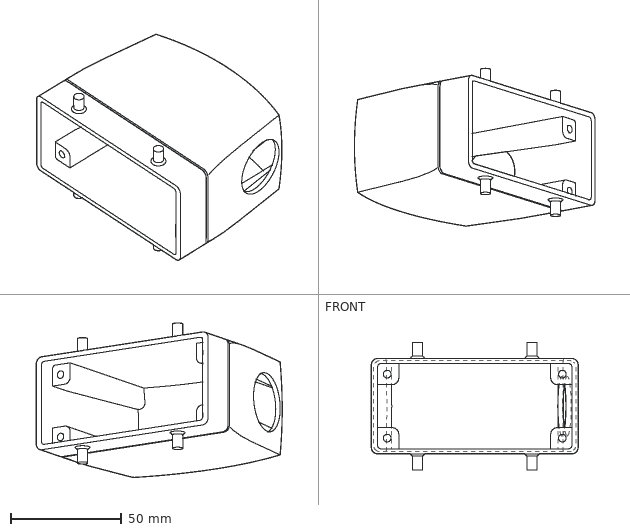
import cadquery as cq
import math

LENGTH = 94.0
THICKNESS = 43.4
DEPTH = 77.55
CORNER_RADIUS = 3.0

COLLAR_DEPTH = 16.4
GROOVE_WIDTH = 1.0
GROOVE_DEPTH = 1.0
SHELL_START = COLLAR_DEPTH + GROOVE_WIDTH

TAPER_ANGLE = 7.5
DOME_RADIUS = 125.0

END_WALL = 2.9
SIDE_WALL = 2.35
DOME_WALL = 2.0
CAVITY_CORNER_RADIUS = 1.5
CAVITY_TAPER_START = 21.1
CAVITY_LENGTH = LENGTH - 2 * END_WALL
CAVITY_THICKNESS = THICKNESS - 2 * SIDE_WALL

ENTRY_DIAMETER = 27.0
ENTRY_CENTRE_Y = 55.4

POST_SIZE = 9.6
POST_FRONT_Y = 9.0
POST_EDGE_RADIUS = 3.0
SCREW_HOLE_DIAMETER = 3.5
SCREW_HOLE_DEPTH = 12.0
SCREW_SPACING_X = 79.5
SCREW_SPACING_Z = 29.0

PIN_DIAMETER = 4.7
PIN_SPACING = 52.0
PIN_CENTRE_Y = 6.5
PIN_SPAN = 58.0
PIN_FOOT_HEIGHT = 1.0

SIDES = (-1, 1)


def rounded_block(length, thickness, radius):
    """Block along the full depth with its four long edges rounded."""
    block = cq.Workplane("XY").box(length, DEPTH, thickness)
    return block.edges("|Y").fillet(radius).translate((0, DEPTH / 2, 0))


def domed_envelope(length, end_y, dome_radius, taper_start):
    """Straight up to taper_start, then narrowing at both ends and closed by a spherical dome."""
    half_length = length / 2
    end_half_length = half_length - (end_y - taper_start) * math.tan(math.radians(TAPER_ANGLE))
    profile = (
        cq.Workplane("XY")
        .workplane(offset=-THICKNESS)
        .polyline(
            [
                (-half_length, 0),
                (half_length, 0),
                (half_length, taper_start),
                (end_half_length, end_y),
                (-end_half_length, end_y),
                (-half_length, taper_start),
            ]
        )
        .close()
        .extrude(2 * THICKNESS)
    )
    ball = cq.Workplane("XZ").sphere(dome_radius).translate((0, end_y - dome_radius, 0))
    return profile.intersect(ball)


def outer_form():
    block = rounded_block(LENGTH, THICKNESS, CORNER_RADIUS)
    return block.intersect(domed_envelope(LENGTH, DEPTH, DOME_RADIUS, SHELL_START))


def cavity_form():
    block = rounded_block(CAVITY_LENGTH, CAVITY_THICKNESS, CAVITY_CORNER_RADIUS)
    envelope = domed_envelope(
        CAVITY_LENGTH, DEPTH - DOME_WALL, DOME_RADIUS - DOME_WALL, CAVITY_TAPER_START
    )
    return block.intersect(envelope)


def groove_ring():
    around = cq.Workplane("XY").box(2 * LENGTH, GROOVE_WIDTH, 2 * THICKNESS)
    around = around.translate((0, COLLAR_DEPTH + GROOVE_WIDTH / 2, 0))
    core = rounded_block(LENGTH - 2 * GROOVE_DEPTH, THICKNESS - 2 * GROOVE_DEPTH, CORNER_RADIUS)
    return around.cut(core)


def cable_entry():
    entry = cq.Workplane("YZ").circle(ENTRY_DIAMETER / 2).extrude(LENGTH)
    return entry.translate((0, ENTRY_CENTRE_Y, 0))


def make_housing():
    return outer_form().cut(groove_ring()).cut(cavity_form()).cut(cable_entry())


def make_post(side_x, side_z):
    """Corner post that fills the cavity corner from its front face to the dome."""
    centre_x = side_x * (CAVITY_LENGTH - POST_SIZE) / 2
    centre_z = side_z * (CAVITY_THICKNESS - POST_SIZE) / 2
    bar = cq.Workplane("XY").box(POST_SIZE, DEPTH, POST_SIZE)
    inner_edge = cq.selectors.NearestToPointSelector(
        (-side_x * POST_SIZE / 2, 0, -side_z * POST_SIZE / 2)
    )
    bar = bar.edges("|Y").edges(inner_edge).fillet(POST_EDGE_RADIUS)
    bar = bar.translate((centre_x, POST_FRONT_Y + DEPTH / 2, centre_z))
    screw_hole = cq.Workplane("XZ").circle(SCREW_HOLE_DIAMETER / 2).extrude(-SCREW_HOLE_DEPTH)
    screw_hole = screw_hole.translate(
        (side_x * SCREW_SPACING_X / 2, POST_FRONT_Y, side_z * SCREW_SPACING_Z / 2)
    )
    return bar.intersect(cavity_form()).cut(screw_hole)


def make_pin(centre_x, side_z):
    """Round pin standing on the collar with a foot that flares at 45 degrees."""
    radius = PIN_DIAMETER / 2
    height = (PIN_SPAN - THICKNESS) / 2
    pin = (
        cq.Workplane("XZ")
        .lineTo(radius + PIN_FOOT_HEIGHT, 0)
        .lineTo(radius, PIN_FOOT_HEIGHT)
        .lineTo(radius, height)
        .lineTo(0, height)
        .close()
        .revolve(360, (0, 0, 0), (0, 1, 0))
    )
    if side_z < 0:
        pin = pin.mirror("XY")
    return pin.translate((centre_x, PIN_CENTRE_Y, side_z * THICKNESS / 2))


housing = make_housing()
posts = [make_post(side_x, side_z) for side_x in SIDES for side_z in SIDES]
pins = [make_pin(side_x * PIN_SPACING / 2, side_z) for side_x in SIDES for side_z in SIDES]

result = cq.Compound.makeCompound(
    [housing.val(), *[post.val() for post in posts], *[pin.val() for pin in pins]]
)